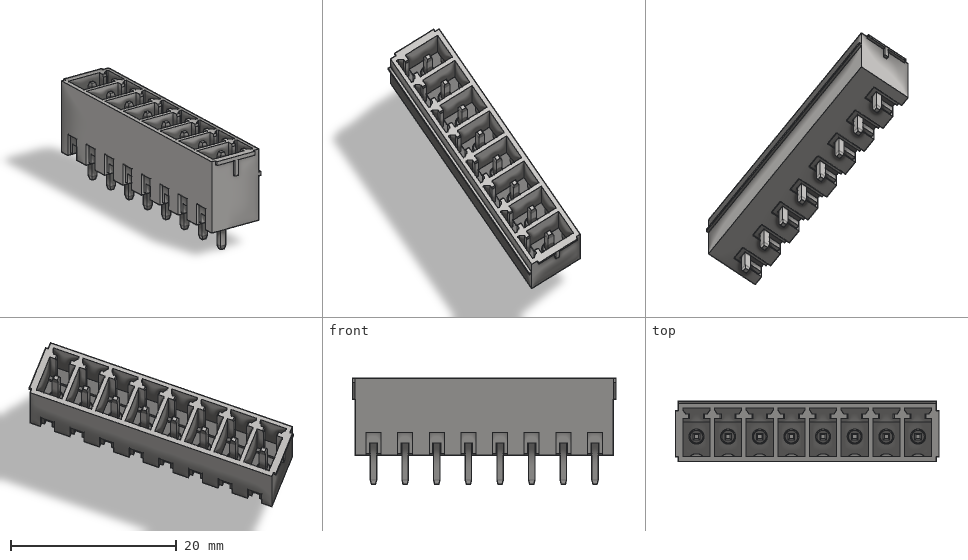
import cadquery as cq


pole_count = 8
pitch = 3.8
body_length = 31.15
body_height = 9.3
front_y = -3.65
back_y = 3.35

rail_depth = 0.32
rail_height = 0.5
rail_top_z = 6.3

ear_thickness = 0.32
ear_front_y = -3.08
ear_back_y = 2.5
ear_height = 0.5
stem_width = 0.5
stem_y = -0.2
stem_length = 2.55

pocket_width = 3.27
pocket_front_y = -3.05
pocket_back_y = 2.83
floor_z = 3.02
ledge_front_y = 1.1
ledge_height = 0.5

lip_front_y = 1.55
lip_back_y = 2.05
lip_flare_y = 2.57
neck_width = 1.65
lip_bevel = 0.13
lip_bevel_height = 0.32
flare_width = 2.57

pin_width = 0.8
pin_y = -0.65
pin_bottom_z = -3.5
pin_top_z = body_height - 0.15
pin_tip_width = 0.5
pin_tip_length = 0.55

collar_diameter = 1.8
collar_top_diameter = 1.53
collar_height = 0.25
cone_diameter = 2.22
cone_y = -3.8

window_width = 1.8
window_height = 2.75
window_depth = 0.38
slot_width = 1.0
slot_height = 1.53
relief_height = 0.25
relief_back_y = 0.48

pole_xs = [(i - (pole_count - 1) / 2) * pitch for i in range(pole_count)]


def block(width, y_start, y_end, z_start, z_end):
    """Box centred on X = 0 between the given Y and Z limits."""
    return cq.Workplane("XY").box(
        width, y_end - y_start, z_end - z_start, centered=(True, False, False)
    ).translate((0, y_start, z_start))


def frustum(base_diameter, top_diameter, height):
    """Upright cone frustum standing on the origin."""
    base = base_diameter / 2
    top = top_diameter / 2
    profile = cq.Workplane("XZ").moveTo(0, 0).lineTo(base, 0).lineTo(top, height)
    if top > 0:
        profile = profile.lineTo(0, height)
    return profile.close().revolve(360, (0, 0, 0), (0, 1, 0))


def housing():
    body = block(body_length, front_y, back_y, 0, body_height)
    rail = block(body_length, back_y, back_y + rail_depth, rail_top_z - rail_height, rail_top_z)
    ear_span = body_length + 2 * ear_thickness
    ear_bar = block(ear_span, ear_front_y, ear_back_y, body_height - ear_height, body_height)
    stem = block(
        ear_span,
        stem_y - stem_width / 2,
        stem_y + stem_width / 2,
        body_height - stem_length,
        body_height,
    )
    return body.union(rail).union(ear_bar).union(stem)


def lip():
    """Hook on the -X side of a pocket, with its top end edge bevelled."""
    wall_x = -pocket_width / 2
    neck_x = -neck_width / 2
    hook = (
        cq.Workplane("XY")
        .polyline([
            (wall_x, lip_front_y),
            (neck_x, lip_front_y),
            (neck_x, lip_back_y),
            (-flare_width / 2, lip_back_y),
            (wall_x, lip_flare_y),
        ])
        .close()
        .extrude(body_height)
    )
    bevel = (
        cq.Workplane("XZ", origin=(0, lip_back_y, 0))
        .moveTo(neck_x, body_height - lip_bevel_height)
        .lineTo(neck_x, body_height)
        .lineTo(neck_x - lip_bevel, body_height)
        .close()
        .extrude(lip_back_y - lip_front_y)
    )
    return hook.cut(bevel)


def pocket():
    """Open space of one pocket, shaped by its ledge, lips, collar and part cone."""
    left_lip = lip()
    space = block(pocket_width, pocket_front_y, pocket_back_y, floor_z, body_height)
    ledge = block(pocket_width, ledge_front_y, pocket_back_y, floor_z, floor_z + ledge_height)
    collar = frustum(collar_diameter, collar_top_diameter, collar_height)
    cone = frustum(cone_diameter, 0, cone_diameter / 2)
    return (
        space.cut(ledge)
        .cut(left_lip)
        .cut(left_lip.mirror("YZ"))
        .cut(collar.translate((0, pin_y, floor_z)))
        .cut(cone.translate((0, cone_y, floor_z)))
    )


def foot_opening():
    """Front window, pin slot and shallow underside relief of one pole."""
    window = block(window_width, front_y, front_y + window_depth, 0, window_height)
    slot = block(slot_width, front_y, pin_y + slot_width / 2, 0, slot_height)
    relief = block(window_width, front_y, relief_back_y, 0, relief_height)
    return window.union(slot).union(relief)


def pin_tip():
    """Tapered pin end standing on the origin."""
    return (
        cq.Workplane("XY")
        .rect(pin_width, pin_width)
        .workplane(offset=pin_tip_length)
        .rect(pin_tip_width, pin_tip_width)
        .loft(ruled=True)
    )


def pin():
    shank_bottom = pin_bottom_z + pin_tip_length
    shank_top = pin_top_z - pin_tip_length
    shank = block(pin_width, -pin_width / 2, pin_width / 2, shank_bottom, shank_top)
    upper_tip = pin_tip().translate((0, 0, shank_top))
    lower_tip = pin_tip().mirror("XY").translate((0, 0, shank_bottom))
    return shank.union(upper_tip).union(lower_tip).translate((0, pin_y, 0))


pole_cavity = pocket().union(foot_opening())
pole_pin = pin()

result = housing()
for x in pole_xs:
    result = result.cut(pole_cavity.translate((x, 0, 0)))
for x in pole_xs:
    result = result.union(pole_pin.translate((x, 0, 0)))